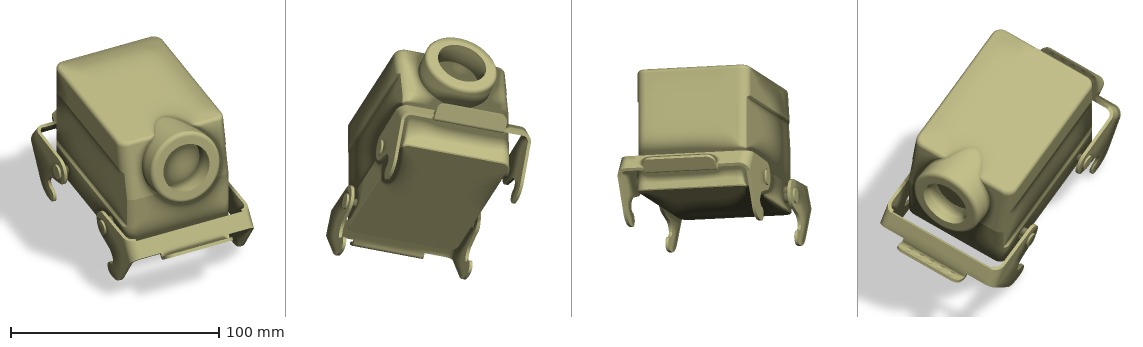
import cadquery as cq
import math

OVERALL_LENGTH = 132.5
OVERALL_WIDTH = 67.8

HOOD_LENGTH = 82.1
HOOD_WIDTH = 56.3
HOOD_HEIGHT = 59.5
HOOD_CORNER_RADIUS = 5.0
HOOD_TOP_RADIUS = 2.0
HOOD_RIM_CHAMFER = 0.5
SLANT_START_HEIGHT = 30.3
SLANT_ANGLE = 13.0

PANEL_DEPTH = 1.2
PANEL_BOTTOM = 13.2
PANEL_TOP = 44.6

ENTRY_DIAMETER = 36.5
ENTRY_BORE_DIAMETER = 24.4
ENTRY_FACE_X = 49.0
ENTRY_FACE_Z = 47.2
ENTRY_LENGTH = 39.7
ENTRY_RIM_RADIUS = 2.0

SHEET = 1.6
LEVER_WIDTH = 65.8
BEND_RADIUS = 4.8
PLATE_ANGLE = 52.0
PLATE_TOP = (-52.7, 15.0)
PLATE_LENGTH = 8.7
EYE_CENTER = (-24.8, 7.4)
EYE_RADIUS = 6.9
EYE_LOWER_SLOPE = 15.0
HOOK_TIP_CENTER = (-33.5, -12.6)
HOOK_TIP_RADIUS = 3.5
CHANNEL_DEPTH = 79.5

TAB_WIDTH = 35.8
TAB_DROP = 12.0
TAB_CORNER_RADIUS = 3.8
DIMPLE_RADIUS = 1.6
DIMPLE_DEPTH = 0.4
DIMPLE_ROWS = 5
DIMPLE_ROW_PITCH = 6.0
DIMPLE_COLUMNS = (1.7, 5.2)

RIVET_X = 25.2
RIVET_Z = 6.5
RIVET_HEAD_RADIUS = 3.7
FREE_SHAFT_RADIUS = 2.1
FIXED_SHAFT_RADIUS = 3.2
PIVOT_HOLE_X = 24.4
PIVOT_HOLE_Z = 8.5
PIVOT_HOLE_RADIUS = 2.5

CHEEK_OUTER_Y = LEVER_WIDTH / 2
RIVET_OUTER_Y = OVERALL_WIDTH / 2

plate_cos = math.cos(math.radians(PLATE_ANGLE))
plate_sin = math.sin(math.radians(PLATE_ANGLE))

TAB_REACH = (OVERALL_LENGTH / 2 + PLATE_TOP[0] - TAB_DROP * plate_cos) / plate_sin


def sheet_point(outward, down):
    """X, Z of a point measured from the plate's outer top edge, outward from and down the plate."""
    return (
        PLATE_TOP[0] - outward * plate_sin - down * plate_cos,
        PLATE_TOP[1] + outward * plate_cos - down * plate_sin,
    )


def on_circle(center, radius, angle):
    """X, Z of the point on a circle at an angle in degrees from +X."""
    turn = math.radians(angle)
    return (center[0] + radius * math.cos(turn), center[1] + radius * math.sin(turn))


def cross_rod(x, z, radius, half_length):
    """A round bar along Y, centered on the hood's middle plane."""
    return cq.Workplane("XZ").center(x, z).circle(radius).extrude(half_length, both=True)


def hood_block():
    half_length = HOOD_LENGTH / 2
    slant_run = (HOOD_HEIGHT - SLANT_START_HEIGHT) * math.tan(math.radians(SLANT_ANGLE))
    outline = [
        (-half_length, 0),
        (half_length, 0),
        (half_length, SLANT_START_HEIGHT),
        (half_length - slant_run, HOOD_HEIGHT),
        (-half_length, HOOD_HEIGHT),
    ]
    block = cq.Workplane("XZ").polyline(outline).close().extrude(HOOD_WIDTH / 2, both=True)
    slant_direction = cq.Vector(-slant_run, 0, HOOD_HEIGHT - SLANT_START_HEIGHT)
    upright_edges = block.edges("|Z")
    slanted_edges = block.edges(cq.selectors.ParallelDirSelector(slant_direction))
    block = block.newObject(upright_edges.vals() + slanted_edges.vals()).fillet(HOOD_CORNER_RADIUS)
    block = block.faces(">Z").edges().fillet(HOOD_TOP_RADIUS)
    return block.faces("<Z").edges().chamfer(HOOD_RIM_CHAMFER)


def side_panel_cutter():
    side = HOOD_WIDTH / 2
    section = [
        (side, PANEL_BOTTOM),
        (side - PANEL_DEPTH, PANEL_BOTTOM + PANEL_DEPTH),
        (side - PANEL_DEPTH, PANEL_TOP - PANEL_DEPTH),
        (side, PANEL_TOP),
    ]
    return cq.Workplane("YZ").polyline(section).close().extrude(HOOD_LENGTH, both=True)


def entry_plane():
    slant = math.radians(SLANT_ANGLE)
    return cq.Plane(
        origin=(ENTRY_FACE_X, 0, ENTRY_FACE_Z),
        xDir=(0, 1, 0),
        normal=(math.cos(slant), 0, math.sin(slant)),
    )


def cable_entry():
    tube = cq.Workplane(entry_plane()).circle(ENTRY_DIAMETER / 2).extrude(-ENTRY_LENGTH)
    rim = cq.selectors.NearestToPointSelector((ENTRY_FACE_X, 0, ENTRY_FACE_Z))
    return tube.faces(rim).edges().fillet(ENTRY_RIM_RADIUS)


def entry_bore():
    slant = math.radians(SLANT_ANGLE)
    depth = (
        (ENTRY_FACE_X - HOOD_LENGTH / 2) * math.cos(slant)
        + (ENTRY_FACE_Z - SLANT_START_HEIGHT) * math.sin(slant)
    )
    return cq.Workplane(entry_plane()).circle(ENTRY_BORE_DIAMETER / 2).extrude(-depth)


def cheek_outline():
    """Side outline of the lever at -X: eye, hook and the sloping back of the cross plate."""
    plate_foot = sheet_point(0, PLATE_LENGTH)
    bend_foot = (-55.0, 4.6)
    heel_start = (-45.3, -10.5)
    heel_middle = (-41.2, -14.6)
    heel_end = (-36.3, HOOK_TIP_CENTER[1] - HOOK_TIP_RADIUS)
    throat_low = (-35.1, -8.5)
    throat_back = (-36.3, -6.2)
    throat_high = (-34.8, -3.5)
    throat_end = (-31.9, -1.5)
    return (
        cq.Workplane("XZ")
        .moveTo(*plate_foot)
        .lineTo(*bend_foot)
        .lineTo(*heel_start)
        .threePointArc(heel_middle, heel_end)
        .lineTo(*on_circle(HOOK_TIP_CENTER, HOOK_TIP_RADIUS, -90))
        .threePointArc(
            on_circle(HOOK_TIP_CENTER, HOOK_TIP_RADIUS, 0),
            on_circle(HOOK_TIP_CENTER, HOOK_TIP_RADIUS, 90),
        )
        .threePointArc(throat_low, throat_back)
        .threePointArc(throat_high, throat_end)
        .lineTo(*on_circle(EYE_CENTER, EYE_RADIUS, EYE_LOWER_SLOPE - 90))
        .threePointArc(
            on_circle(EYE_CENTER, EYE_RADIUS, 0),
            on_circle(EYE_CENTER, EYE_RADIUS, 90),
        )
        .lineTo(*PLATE_TOP)
        .close()
    )


def bent_channel():
    """Cross plate and both cheeks, as an untrimmed U-shaped channel along the plate's slope."""
    section_plane = cq.Plane(
        origin=(PLATE_TOP[0], 0, PLATE_TOP[1]),
        xDir=(plate_sin, 0, -plate_cos),
        normal=(plate_cos, 0, plate_sin),
    )

    def rounded_bar(start, width, radius):
        half = width / 2
        return (
            cq.Workplane(section_plane)
            .moveTo(CHANNEL_DEPTH, -half)
            .lineTo(start + radius, -half)
            .radiusArc((start, -half + radius), radius)
            .lineTo(start, half - radius)
            .radiusArc((start + radius, half), radius)
            .lineTo(CHANNEL_DEPTH, half)
            .close()
            .extrude(CHANNEL_DEPTH, both=True)
        )

    outside = rounded_bar(0, LEVER_WIDTH, BEND_RADIUS)
    inside = rounded_bar(SHEET, LEVER_WIDTH - 2 * SHEET, BEND_RADIUS - SHEET)
    return outside.cut(inside)


def plate_top_trim():
    """Squares the top edge of the cross plate between its two bends."""
    corners = [
        sheet_point(0, 0),
        sheet_point(-SHEET, 0),
        sheet_point(-SHEET, -SHEET),
        sheet_point(0, -SHEET),
    ]
    half_width = LEVER_WIDTH / 2 - BEND_RADIUS
    return cq.Workplane("XZ").polyline(corners).close().extrude(half_width, both=True)


def finger_tab():
    tab_top = TAB_DROP - SHEET
    root = PLATE_LENGTH - SHEET
    bend_middle = SHEET * math.sqrt(0.5)
    tab = (
        cq.Workplane("XZ")
        .moveTo(*sheet_point(0, root))
        .lineTo(*sheet_point(0, tab_top))
        .lineTo(*sheet_point(TAB_REACH, tab_top))
        .lineTo(*sheet_point(TAB_REACH, TAB_DROP))
        .lineTo(*sheet_point(0, TAB_DROP))
        .threePointArc(
            sheet_point(-bend_middle, tab_top + bend_middle),
            sheet_point(-SHEET, tab_top),
        )
        .lineTo(*sheet_point(-SHEET, root))
        .close()
        .extrude(TAB_WIDTH / 2, both=True)
    )
    end_x, end_z = sheet_point(TAB_REACH, TAB_DROP - SHEET / 2)
    corners = [
        tab.edges(cq.selectors.NearestToPointSelector((end_x, side * TAB_WIDTH / 2, end_z))).val()
        for side in (-1, 1)
    ]
    tab = tab.newObject(corners).fillet(TAB_CORNER_RADIUS)
    return tab.cut(tab_dimples())


def tab_dimples():
    """Shallow spherical caps that stay within the flat part of the tab."""
    tab_top = TAB_DROP - SHEET
    ball_radius = (DIMPLE_RADIUS**2 + DIMPLE_DEPTH**2) / (2 * DIMPLE_DEPTH)
    balls = cq.Workplane("XY")
    for outward in DIMPLE_COLUMNS:
        x, z = sheet_point(outward, tab_top + DIMPLE_DEPTH - ball_radius)
        for row in range(DIMPLE_ROWS):
            y = (row - (DIMPLE_ROWS - 1) / 2) * DIMPLE_ROW_PITCH
            balls = balls.union(cq.Workplane("XY").sphere(ball_radius).translate((x, y, z)))
    flat_corners = [
        sheet_point(0, tab_top),
        sheet_point(TAB_REACH, tab_top),
        sheet_point(TAB_REACH, TAB_DROP),
        sheet_point(0, TAB_DROP),
    ]
    flat = cq.Workplane("XZ").polyline(flat_corners).close().extrude(TAB_WIDTH / 2, both=True)
    return balls.intersect(flat)


def lever():
    """Lever at the -X end, without its pivot holes."""
    outline = cheek_outline().extrude(LEVER_WIDTH, both=True)
    return bent_channel().intersect(outline).cut(plate_top_trim()).union(finger_tab())


def rivets(x, shaft_radius):
    """A pair of opposed rivets, joined through the hood, with heads outside the lever cheeks."""
    shaft = cross_rod(x, RIVET_Z, shaft_radius, RIVET_OUTER_Y)
    heads = cross_rod(x, RIVET_Z, RIVET_HEAD_RADIUS, RIVET_OUTER_Y)
    between_heads = cross_rod(x, RIVET_Z, RIVET_HEAD_RADIUS, CHEEK_OUTER_Y)
    return shaft.union(heads.cut(between_heads))


def make_free_lever():
    """Lever at -X that turns on the hood's rivets; its pivot hole is wider than the rivet shaft."""
    rivet_passage = cross_rod(-RIVET_X, RIVET_Z, FREE_SHAFT_RADIUS, CHEEK_OUTER_Y)
    pivot_hole = cross_rod(-PIVOT_HOLE_X, PIVOT_HOLE_Z, PIVOT_HOLE_RADIUS, CHEEK_OUTER_Y)
    return lever().cut(pivot_hole).cut(rivet_passage)


def make_hood():
    """Hood with its cable entry and rivets, and the lever at +X fixed to it by filled pivots."""
    hood = hood_block()
    panel = side_panel_cutter()
    hood = hood.cut(panel).cut(panel.mirror("XZ"))
    hood = hood.union(cable_entry()).cut(entry_bore())
    hood = hood.union(rivets(-RIVET_X, FREE_SHAFT_RADIUS))
    hood = hood.union(rivets(RIVET_X, FIXED_SHAFT_RADIUS))
    hood = hood.union(cross_rod(PIVOT_HOLE_X, PIVOT_HOLE_Z, PIVOT_HOLE_RADIUS, CHEEK_OUTER_Y))
    return hood.union(lever().mirror("YZ"))


hood = make_hood()
free_lever = make_free_lever()
result = cq.Compound.makeCompound([hood.val(), free_lever.val()])